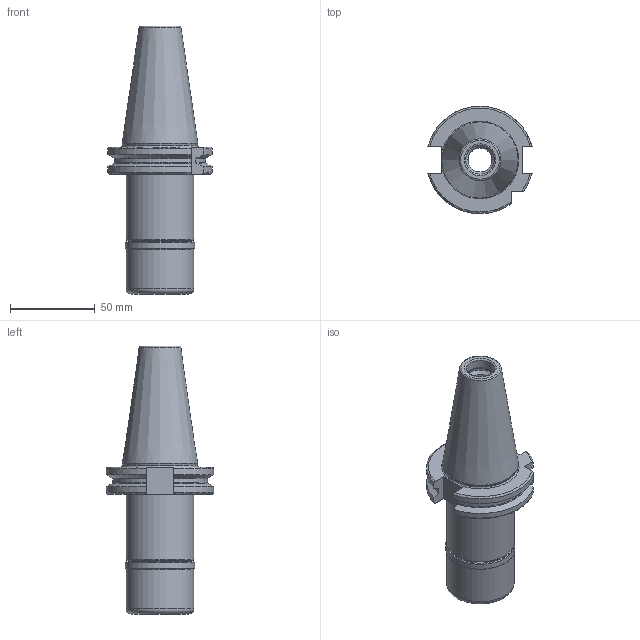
import cadquery as cq
import math


GAUGE_RADIUS = 44.45 / 2
TAPER_LENGTH = 68.4
TAPER_SLOPE = 7 / 48
TAPER_END_RADIUS = 0.9
TAPER_BASE = -1.0
COLLAR_RADIUS = 22.1
COLLAR_TOP = -2.0
COLLAR_FILLET = 0.8

FLANGE_RADIUS = 63.55 / 2
FLANGE_TOP = -3.2
FLANGE_BOTTOM = -19.1
FLANGE_EDGE_RADIUS = 1.0
GROOVE_CENTER = -11.2
GROOVE_MOUTH_WIDTH = 7.2
GROOVE_FLOOR_RADIUS = 56.25 / 2
GROOVE_FLANK_ANGLE = 30
GROOVE_FLOOR_FILLET = 0.6

SLOT_WIDTH = 16.1
SLOT_FLOOR_LEFT = 22.8
SLOT_FLOOR_RIGHT = 25.0
NOTCH_OFFSET = 18.4

NOSE_END = -90.0
BODY_RADIUS = 20.0
BODY_FILLET = 0.4
BODY_END = -58.4
BODY_END_CHAMFER = 0.4
NECK_RADIUS = 18.6
RING_TOP = -59.0
RING_BOTTOM = -63.5
RING_CHAMFER = 0.5
RING_RADIUS = BODY_RADIUS + RING_CHAMFER
NOSE_EDGE_RADIUS = 3.0

BORE_RADIUS = 7.1
COUNTERBORE_RADIUS = 8.5
COUNTERBORE_DEPTH = 6.0
COUNTERBORE_EDGE_RADIUS = 0.9
UNDERCUT_RADIUS = 9.0
UNDERCUT_FLARE_ANGLE = 25
UNDERCUT_WIDTH = 1.1
LEAD_IN_ANGLE = 45


def make_body():
    """Revolve the taper, flange, chuck body and nose as one profile."""
    taper_end_radius = GAUGE_RADIUS - TAPER_LENGTH * TAPER_SLOPE
    taper_angle = math.atan(TAPER_SLOPE)
    round_length = TAPER_END_RADIUS * math.tan((math.pi / 2 - taper_angle) / 2)
    round_start_radius = taper_end_radius + round_length * math.sin(taper_angle)
    round_start_height = TAPER_LENGTH - round_length * math.cos(taper_angle)
    taper_base_radius = GAUGE_RADIUS - TAPER_BASE * TAPER_SLOPE

    flank_angle = math.radians(GROOVE_FLANK_ANGLE)
    groove_depth = FLANGE_RADIUS - GROOVE_FLOOR_RADIUS
    half_mouth = GROOVE_MOUTH_WIDTH / 2
    half_floor = half_mouth - groove_depth * math.tan(flank_angle)

    half_turn = (math.pi / 2 - flank_angle) / 2
    tangent = GROOVE_FLOOR_FILLET * math.tan(half_turn)
    fillet_radius = GROOVE_FLOOR_RADIUS + tangent * math.cos(flank_angle)
    fillet_height = half_floor + tangent * math.sin(flank_angle)

    edge = FLANGE_EDGE_RADIUS
    profile = (
        cq.Workplane("XZ")
        .moveTo(0, TAPER_LENGTH)
        .lineTo(taper_end_radius - round_length, TAPER_LENGTH)
        .radiusArc((round_start_radius, round_start_height), TAPER_END_RADIUS)
        .lineTo(taper_base_radius, TAPER_BASE)
        .lineTo(COLLAR_RADIUS, COLLAR_TOP)
        .lineTo(COLLAR_RADIUS, FLANGE_TOP + COLLAR_FILLET)
        .radiusArc((COLLAR_RADIUS + COLLAR_FILLET, FLANGE_TOP), -COLLAR_FILLET)
        .lineTo(FLANGE_RADIUS - edge, FLANGE_TOP)
        .radiusArc((FLANGE_RADIUS, FLANGE_TOP - edge), edge)
        .lineTo(FLANGE_RADIUS, GROOVE_CENTER + half_mouth)
        .lineTo(fillet_radius, GROOVE_CENTER + fillet_height)
        .radiusArc((GROOVE_FLOOR_RADIUS, GROOVE_CENTER + half_floor - tangent), -GROOVE_FLOOR_FILLET)
        .lineTo(GROOVE_FLOOR_RADIUS, GROOVE_CENTER - half_floor + tangent)
        .radiusArc((fillet_radius, GROOVE_CENTER - fillet_height), -GROOVE_FLOOR_FILLET)
        .lineTo(FLANGE_RADIUS, GROOVE_CENTER - half_mouth)
        .lineTo(FLANGE_RADIUS, FLANGE_BOTTOM + edge)
        .radiusArc((FLANGE_RADIUS - edge, FLANGE_BOTTOM), edge)
        .lineTo(BODY_RADIUS + BODY_FILLET, FLANGE_BOTTOM)
        .radiusArc((BODY_RADIUS, FLANGE_BOTTOM - BODY_FILLET), -BODY_FILLET)
        .lineTo(BODY_RADIUS, BODY_END + BODY_END_CHAMFER)
        .lineTo(BODY_RADIUS - BODY_END_CHAMFER, BODY_END)
        .lineTo(NECK_RADIUS, BODY_END)
        .lineTo(NECK_RADIUS, RING_TOP)
        .lineTo(BODY_RADIUS, RING_TOP)
        .lineTo(RING_RADIUS, RING_TOP - RING_CHAMFER)
        .lineTo(RING_RADIUS, RING_BOTTOM + RING_CHAMFER)
        .lineTo(BODY_RADIUS, RING_BOTTOM)
        .lineTo(BODY_RADIUS, NOSE_END + NOSE_EDGE_RADIUS)
        .radiusArc((BODY_RADIUS - NOSE_EDGE_RADIUS, NOSE_END), NOSE_EDGE_RADIUS)
        .lineTo(0, NOSE_END)
        .close()
    )
    return profile.revolve(360, (0, 0, 0), (0, 1, 0))


def make_bore():
    """Through bore with a rounded, undercut counterbore in the taper end."""
    edge = COUNTERBORE_EDGE_RADIUS
    counterbore_end = TAPER_LENGTH - COUNTERBORE_DEPTH
    flare_height = (UNDERCUT_RADIUS - COUNTERBORE_RADIUS) / math.tan(math.radians(UNDERCUT_FLARE_ANGLE))
    undercut_top = counterbore_end - flare_height
    undercut_bottom = undercut_top - UNDERCUT_WIDTH
    lead_in_height = (UNDERCUT_RADIUS - BORE_RADIUS) / math.tan(math.radians(LEAD_IN_ANGLE))

    profile = (
        cq.Workplane("XZ")
        .moveTo(0, TAPER_LENGTH)
        .lineTo(COUNTERBORE_RADIUS + edge, TAPER_LENGTH)
        .radiusArc((COUNTERBORE_RADIUS, TAPER_LENGTH - edge), -edge)
        .lineTo(COUNTERBORE_RADIUS, counterbore_end)
        .lineTo(UNDERCUT_RADIUS, undercut_top)
        .lineTo(UNDERCUT_RADIUS, undercut_bottom)
        .lineTo(BORE_RADIUS, undercut_bottom - lead_in_height)
        .lineTo(BORE_RADIUS, NOSE_END)
        .lineTo(0, NOSE_END)
        .close()
    )
    return profile.revolve(360, (0, 0, 0), (0, 1, 0))


def flange_cutter(x_min, x_max, y_min, y_max):
    """Box through the full flange thickness over the given XY range."""
    return (
        cq.Workplane("XY", origin=(0, 0, FLANGE_BOTTOM))
        .moveTo((x_min + x_max) / 2, (y_min + y_max) / 2)
        .rect(x_max - x_min, y_max - y_min)
        .extrude(FLANGE_TOP - FLANGE_BOTTOM)
    )


half_slot = SLOT_WIDTH / 2
left_slot = flange_cutter(-FLANGE_RADIUS, -SLOT_FLOOR_LEFT, -half_slot, half_slot)
right_slot = flange_cutter(SLOT_FLOOR_RIGHT, FLANGE_RADIUS, -half_slot, half_slot)
notch = flange_cutter(NOTCH_OFFSET, FLANGE_RADIUS, -FLANGE_RADIUS, -NOTCH_OFFSET)

result = make_body().cut(make_bore())
for cutter in (left_slot, right_slot, notch):
    result = result.cut(cutter)